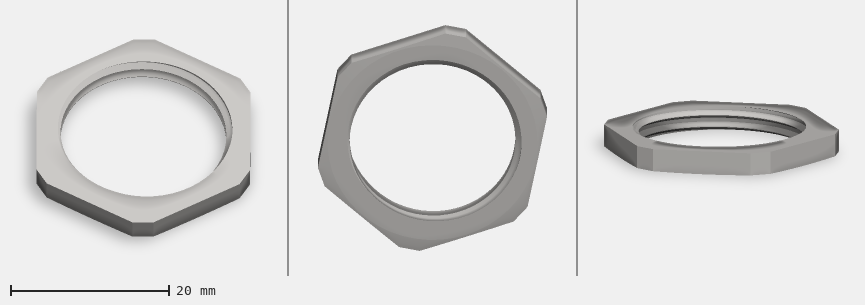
import cadquery as cq
import math

thickness = 3.0
corner_count = 6
across_flats = 27.0
across_corners = 29.65

bottom_land_radius = 13.25
relief_angle = 5.0

minor_radius = 10.47
major_radius = 11.25
pitch = 1.5
root_width = 0.50
crest_width = 0.08
start_angle = 120.0
turns_beyond_face = 1
bore_overlap = 0.03


def hexagonal_prism(flats):
    """Upright hexagonal prism with corners on +X and -X."""
    circumscribed_diameter = flats / math.cos(math.pi / corner_count)
    return cq.Workplane("XY").polygon(corner_count, circumscribed_diameter).extrude(thickness)


def nut_body():
    """Hexagon with flats facing +X and -X, its corners blunted by a larger hexagon."""
    half_sector = 180 / corner_count
    z_axis = ((0, 0, 0), (0, 0, 1))
    flats = hexagonal_prism(across_flats).rotate(*z_axis, half_sector)
    return flats.intersect(hexagonal_prism(across_corners))


def bottom_relief():
    """Ring below a shallow cone that lifts the corners off the bottom plane."""
    outer_radius = across_corners
    rise = (outer_radius - bottom_land_radius) * math.tan(math.radians(relief_angle))
    section = cq.Workplane("XZ").polyline([
        (bottom_land_radius, 0),
        (outer_radius, rise),
        (outer_radius, 0),
    ]).close()
    return section.revolve(360, (0, 0, 0), (0, 1, 0))


def thread_groove():
    """Trapezoidal groove swept along a right-hand helix, centred on the top face at start_angle."""
    turns_in_nut = math.ceil(thickness / pitch)
    length = (turns_in_nut + 2 * turns_beyond_face) * pitch
    helix = cq.Wire.makeHelix(pitch, length, minor_radius)
    half_root = root_width / 2
    half_mouth = (pitch - crest_width) / 2
    flank_slope = (half_mouth - half_root) / (major_radius - minor_radius)
    inner_radius = minor_radius - bore_overlap
    half_inner = half_mouth + bore_overlap * flank_slope
    section = cq.Workplane("XZ").polyline([
        (inner_radius, -half_inner),
        (major_radius, -half_root),
        (major_radius, half_root),
        (inner_radius, half_inner),
    ]).close()
    groove = section.sweep(cq.Workplane(obj=helix), isFrenet=True)
    bottom_start = thickness - (turns_in_nut + turns_beyond_face) * pitch
    return groove.rotate((0, 0, 0), (0, 0, 1), start_angle).translate((0, 0, bottom_start))


bore = cq.Workplane("XY").circle(minor_radius).extrude(thickness)
result = nut_body().cut(bottom_relief()).cut(bore).cut(thread_groove())